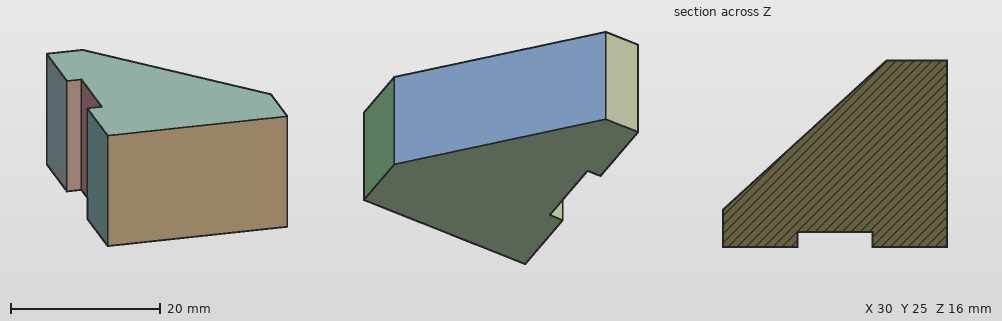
import cadquery as cq

length = 30.0
width = 25.0
height = 16.0

left_land = 5.0
back_land = 8.1

groove_width = length / 3
groove_depth = 2.0


def wedge_block():
    """Block with its left rear corner cut away by a sloping face."""
    outline = [
        (0, 0),
        (length, 0),
        (length, width),
        (length - back_land, width),
        (0, left_land),
    ]
    return cq.Workplane("XY").polyline(outline).close().extrude(height)


def front_groove():
    """Rectangular cutter for the groove in the front face."""
    groove_start = (length - groove_width) / 2
    return (
        cq.Workplane("XY")
        .box(groove_width, groove_depth, height, centered=False)
        .translate((groove_start, 0, 0))
    )


result = wedge_block().cut(front_groove())